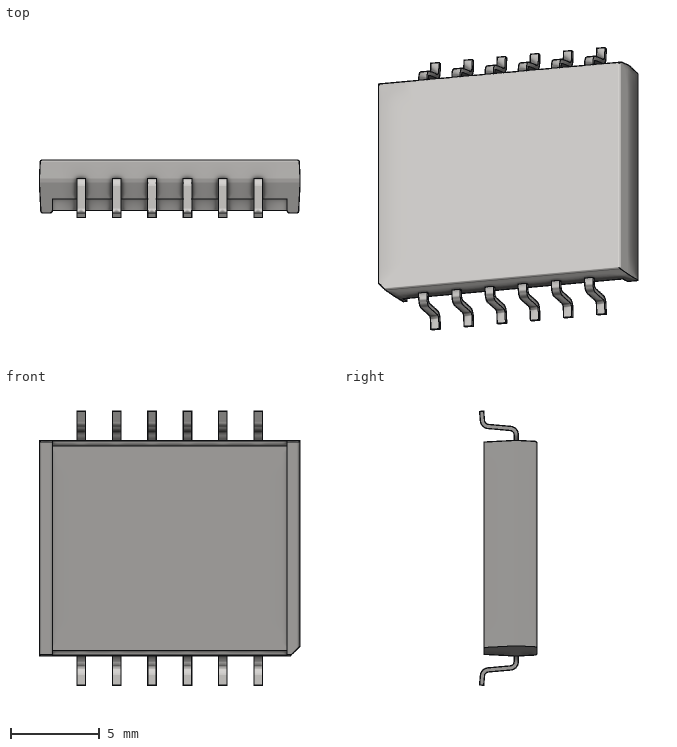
import cadquery as cq
import math

overall_depth = 3.25
overall_height = 15.46

body_width = 14.7
body_height = 12.15
body_depth = 3.0
draft_angle = 3.0
band_depth = 1.05
back_fillet = 0.12

rail_width = 0.74
plate_depth = 0.14
step_depth = 0.8
step_height = 0.32
rail_outer_fillet = 0.12
rail_inner_fillet = 0.15
corner_chamfer = 0.57
edge_margin = 0.02

lead_count = 6
lead_pitch = 2.0
lead_width = 0.5
lead_thickness = 0.25
lead_embed = 0.31
foot_length = 0.54
bend_inner_radius = 0.23
foot_lean_angle = 5.0
arm_angle = 5.0

back_y = overall_depth / 2
foot_front_y = -overall_depth / 2
front_y = back_y - body_depth
band_back_y = back_y - band_depth
band_front_y = band_back_y - lead_thickness
plate_y = front_y + plate_depth
step_y = front_y + step_depth

half_width = body_width / 2
half_height = body_height / 2
recess_half_width = half_width - rail_width


def y_plane(y):
    """XZ plane at the given Y; its normal points to -Y."""
    return cq.Workplane("XZ", origin=(0, y, 0))


def drafted_slab(start_y, end_y, taper):
    """Full body outline extruded from start_y to end_y."""
    outline = y_plane(start_y).rect(body_width, body_height)
    return outline.extrude(start_y - end_y, taper=taper)


def make_body():
    """Drafted body with a straight parting band at the lead level."""
    back_half = drafted_slab(band_back_y, back_y, draft_angle)
    back_half = back_half.faces(">Y").edges().fillet(back_fillet)
    band = drafted_slab(band_back_y, band_front_y, 0)
    front_half = drafted_slab(band_front_y, front_y, draft_angle)
    front_half = front_half.faces("<Y").edges("|Z").fillet(rail_outer_fillet)
    return back_half.union(band).union(front_half)


def add_recess(body):
    """Open the front between two rails, round their inner edges and add the plate."""
    recess_width = 2 * recess_half_width
    opening = y_plane(step_y).rect(recess_width, body_height).extrude(step_depth)
    inner_edges = cq.selectors.BoxSelector(
        (-recess_half_width - edge_margin, front_y - edge_margin, -half_height),
        (recess_half_width + edge_margin, front_y + edge_margin, half_height),
    )
    body = body.cut(opening).edges("|Z").edges(inner_edges).fillet(rail_inner_fillet)
    plate_height = body_height - 2 * step_height
    plate = y_plane(step_y).rect(recess_width + 2 * rail_inner_fillet, plate_height)
    return body.union(plate.extrude(step_y - plate_y))


def cut_corner(body):
    """Bevel the lower +X corner through the whole depth."""
    corner = (
        y_plane(back_y)
        .moveTo(half_width, -half_height)
        .lineTo(half_width - corner_chamfer, -half_height)
        .lineTo(half_width, -half_height + corner_chamfer)
        .close()
        .extrude(body_depth)
    )
    return body.cut(corner)


def make_lead():
    """One upper lead, centred on X = 0: shank, sloping arm and foot."""
    bend_radius = bend_inner_radius + lead_thickness / 2
    arm = math.radians(arm_angle)
    lean = math.radians(foot_lean_angle)
    foot_bend_turn = math.radians(90) - arm - lean
    foot_run = foot_length + bend_radius * math.tan(foot_bend_turn / 2)
    start_z = half_height - lead_embed
    shank_y = (band_back_y + band_front_y) / 2
    tip_y = foot_front_y + lead_thickness / 2 * math.cos(lean)
    tip_z = overall_height / 2 - lead_thickness / 2 * math.sin(lean)
    foot_corner_y = tip_y + foot_run * math.sin(lean)
    foot_corner_z = tip_z - foot_run * math.cos(lean)
    shank_corner_z = foot_corner_z - (shank_y - foot_corner_y) * math.tan(arm)
    corner_points = [
        (shank_y, start_z),
        (shank_y, shank_corner_z),
        (foot_corner_y, foot_corner_z),
        (tip_y, tip_z),
    ]
    sharp_path = cq.Wire.makePolygon([cq.Vector(0, y, z) for y, z in corner_points])
    path = sharp_path.fillet2D(bend_radius, sharp_path.Vertices()[1:-1])
    section = cq.Workplane("XY", origin=(0, shank_y, start_z)).rect(lead_width, lead_thickness)
    return section.sweep(cq.Workplane(path))


def add_leads(body):
    """Place a row of leads on the top and its mirror image on the bottom."""
    upper_lead = make_lead()
    lower_lead = upper_lead.mirror("XY")
    for index in range(lead_count):
        x = (index - (lead_count - 1) / 2) * lead_pitch
        body = body.union(upper_lead.translate((x, 0, 0)))
        body = body.union(lower_lead.translate((x, 0, 0)))
    return body


result = add_leads(cut_corner(add_recess(make_body())))